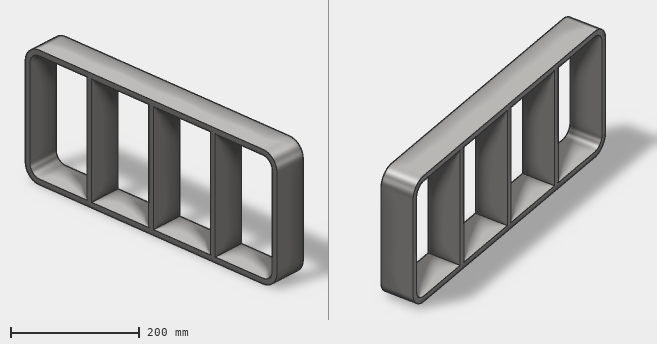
import cadquery as cq

length = 532.0
depth = 60.0
height = 238.0

wall = 10.0
outer_radius = 30.0
inner_radius = outer_radius - wall

bay_count = 4
divider_pitch = (length - wall) / bay_count


def make_frame():
    """Rounded rectangular ring, open along Y."""
    outer = cq.Workplane("XY").box(length, depth, height).edges("|Y").fillet(outer_radius)
    opening = (
        cq.Workplane("XY")
        .box(length - 2 * wall, depth, height - 2 * wall)
        .edges("|Y")
        .fillet(inner_radius)
    )
    return outer.cut(opening)


def make_divider(x):
    """Upright plate reaching from mid-wall at the bottom to mid-wall at the top."""
    return cq.Workplane("XY").box(wall, depth, height - wall).translate((x, 0, 0))


result = make_frame()
for index in range(1, bay_count):
    divider_x = (index - bay_count / 2) * divider_pitch
    result = result.union(make_divider(divider_x))
result = result.clean()